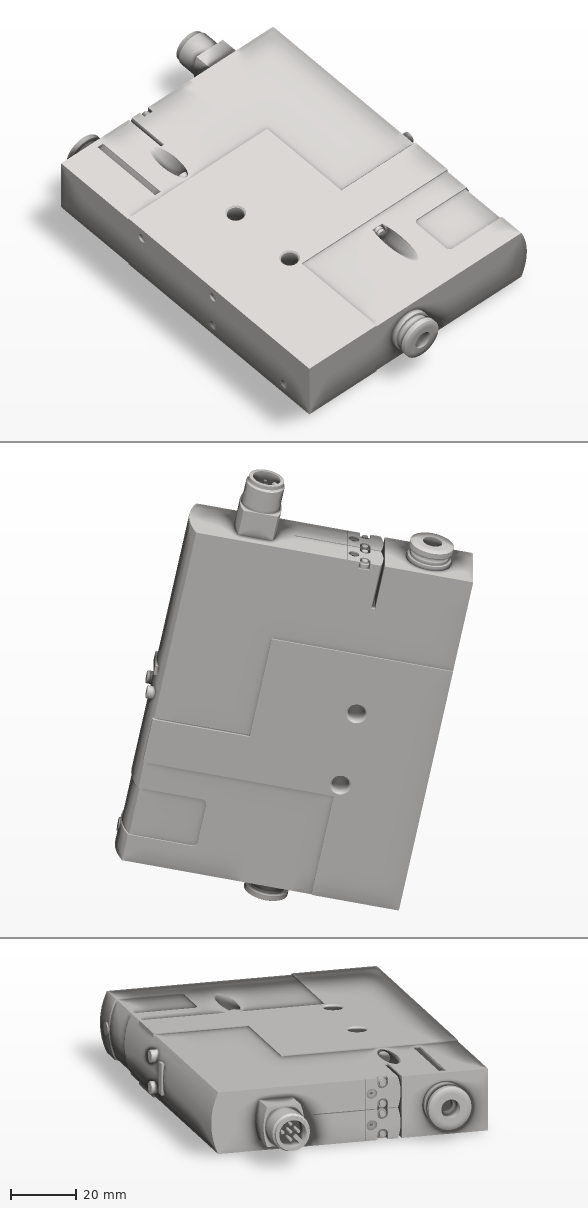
import cadquery as cq
import math


LENGTH = 114.8
PANEL_HALF = 9.82
CORE_HALF = 10.24
BACK_EDGE_Y = 86.4
CROWN_RISE = 2.2
CROWN_Y = BACK_EDGE_Y + CROWN_RISE

LEFT_BLOCK_X = 31.0
RIGHT_PANEL_X = 80.2
RIGHT_PANEL_Y = 27.3
CONTROL_X = 64.9
CONTROL_Y = 56.5
CONTROL_GAP = 0.4
CONTROL_GAP_DEPTH = 0.7
CORE_BACK_Y = 86.8

RECESS_X = (89.5, 105.7)
RECESS_Y = 64.9
RECESS_CORNER_R = 1.5
RECESS_DEPTH = 0.4

BOLT_D = 5.5
BOLT_RIM_D = 6.4
BOLT_X = (51.1, 76.0)
BOLT_Y = 26.0

FRONT_HOLE_D = 2.5
FRONT_RIM_D = 3.0
FRONT_HOLE_DEPTH = 7
FRONT_PITCH = 32.9
FRONT_MID_X = 70.0
FRONT_HOLE_Z = 6.3

LABEL_D = 2.2
LABEL_Y = 13.9
LABEL_X = (2.2, 29.0)

SCOOP_D = 5.6
LEFT_SCOOP = (21.5, 25.1)
LEFT_SCOOP_TILT = 20
LEFT_SCOOP_REACH = 9.8
LEFT_PIN_D = 4.0
LEFT_PIN_START = 5.7
RIGHT_SCOOP = (91.5, 55.0)
RIGHT_SCOOP_TILT = 15
RIGHT_SCOOP_REACH = 6.4
RIGHT_PIN_D = 4.0
RIGHT_PIN_X = (83.7, 84.8)
RIGHT_PIN_TIP_D = 3.5
RIGHT_PIN_TIP_X = 85.8
RIGHT_PIN_COVER = 0.1

VALVE_LENGTH = 14.9
VALVE_BACK_Y = 55.7
VALVE_FRONT_Y = 28.8
VALVE_BULGE = 0.8
VALVE_SLOT_Y = 27.6
SEAM_WIDTH = 0.4
SEAM_DEPTH = 0.7
COVER_LINE_Y = 39.4
COVER_LINE_WIDTH = 0.1
COVER_LINE_DEPTH = 0.4

OVERRIDE_Y = 33.7
OVERRIDE_OUTER_Z = 8.1
OVERRIDE_INNER_Z = 1.7
OVERRIDE_D = 3.3
OVERRIDE_DEPTH = 2.2
PLUNGER_D = 3.0
PLUNGER_TIP_D = 1.8
PLUNGER_SHOULDER = 0.8
SCREW_Y = 37.2
SCREW_Z = 5.0
SCREW_D = 3.3
SCREW_DEPTH = 0.7
DRIVE_D = 1.0
DRIVE_DEPTH = 0.7

BUTTON_D = 4.0
BUTTON_X = 58.9
BUTTON_Z = 5.0
BUTTON_TIP_Y = 90.0
BUTTON_CHAMFER = 0.1
WINDOW_TOP_Y = CROWN_Y + 0.4
WINDOW_X = 51.3
WINDOW_WIDTH = 3.0
WINDOW_HEIGHT = 10.0
LAMP_X = 107.7
LAMP_D = 4.2

FITTING_LENGTH = 6.8
FLANGE_D = 13.7
FLANGE_THICKNESS = 1.8
NECK_D = 12.0
NECK_END = 2.8
THROAT_D = 11.0
THROAT_START = 3.8
HEAD_START = 4.6
HEAD_EDGE = 6.3
HEAD_FACE_D = 10.0
TUBE_D = 6.0
TUBE_DEPTH = 4.2
FITTING_BORE_D = 4.2
LEFT_FITTING_Y = 13.9
LEFT_FITTING_SINK = 0.5
LEFT_SEAT_D = 14.3
RIGHT_FITTING_Y = 40.3

PLUG_Y = 68.0
PLUG_LENGTH = 17.7
BLOCK_LENGTH = 8.5
BLOCK_HEIGHT = 12.7
BLOCK_FLAT = 10.7
BLOCK_WIDTH = 13.1
BARREL_D = 12.0
BARREL_END = 15.9
COLLAR_D = 10.9
COLLAR_START = 16.5
SOCKET_D = 8.6
SOCKET_DEPTH = 7
CONTACT_D = 1.0
CONTACT_RADIUS = 2.5
CONTACT_COUNT = 4
CONTACT_LENGTH = 4.9
KEY_WIDTH = 1.3
KEY_REACH = 1.3
KEY_ANGLE = 45


def box(x, y, z):
    """Box between pairs of limits."""
    return (cq.Workplane("XY")
            .box(x[1] - x[0], y[1] - y[0], z[1] - z[0], centered=False)
            .translate((x[0], y[0], z[0])))


def rod(start, direction, diameter, length):
    """Cylinder from a start point along a direction."""
    return cq.Workplane(cq.Solid.makeCylinder(diameter / 2, length, cq.Vector(*start), cq.Vector(*direction)))


def crowned_slab(inset):
    """Panel-thickness slab with a crowned back, shrunk by an inset on top, bottom and back."""
    half = PANEL_HALF - inset
    back = BACK_EDGE_Y - inset
    return (cq.Workplane("YZ")
            .moveTo(0, -half)
            .lineTo(back, -half)
            .threePointArc((back + CROWN_RISE, 0), (back, half))
            .lineTo(0, half)
            .close()
            .extrude(LENGTH))


def core_plate():
    """Raised plate that stands proud of the panels on both faces."""
    core_left = CONTROL_X + CONTROL_GAP
    outline = [
        (LEFT_BLOCK_X, 0), (LENGTH, 0), (LENGTH, RIGHT_PANEL_Y), (RIGHT_PANEL_X, RIGHT_PANEL_Y),
        (RIGHT_PANEL_X, CORE_BACK_Y), (core_left, CORE_BACK_Y), (core_left, CONTROL_Y),
        (LEFT_BLOCK_X, CONTROL_Y),
    ]
    return cq.Workplane("XY").polyline(outline).close().extrude(CORE_HALF, both=True)


def cut_control_gaps(body):
    """Narrow gap between the electronics panel and the core, top and bottom."""
    floor = PANEL_HALF - CONTROL_GAP_DEPTH
    x = (CONTROL_X, CONTROL_X + CONTROL_GAP)
    gap = box(x, (CONTROL_Y, CROWN_Y), (floor, CORE_HALF))
    return body.cut(gap).cut(gap.mirror("XY"))


def cut_wrapped_recess(body):
    recess = (box(RECESS_X, (RECESS_Y, CROWN_Y), (-CORE_HALF, CORE_HALF))
              .edges("|Z and <Y").fillet(RECESS_CORNER_R)
              .cut(crowned_slab(RECESS_DEPTH)))
    return body.cut(recess)


def rimmed_hole(start, direction, diameter, rim_diameter, length):
    """Hole tool with a 45 degree chamfer at its start."""
    rim = (rim_diameter - diameter) / 2
    cone = cq.Solid.makeCone(rim_diameter / 2, diameter / 2, rim, cq.Vector(*start), cq.Vector(*direction))
    return rod(start, direction, diameter, length).union(cq.Workplane(cone))


def cut_mounting_holes(body):
    for x in BOLT_X:
        for side in (1, -1):
            start = (x, BOLT_Y, side * CORE_HALF)
            body = body.cut(rimmed_hole(start, (0, 0, -side), BOLT_D, BOLT_RIM_D, CORE_HALF))
    places = [
        (FRONT_MID_X - FRONT_PITCH, FRONT_HOLE_Z), (FRONT_MID_X, FRONT_HOLE_Z),
        (FRONT_MID_X, -FRONT_HOLE_Z), (FRONT_MID_X + FRONT_PITCH, -FRONT_HOLE_Z),
    ]
    for x, z in places:
        body = body.cut(rimmed_hole((x, 0, z), (0, 1, 0), FRONT_HOLE_D, FRONT_RIM_D, FRONT_HOLE_DEPTH))
    return body


def cut_label_groove(body):
    start = (LABEL_X[0], LABEL_Y, PANEL_HALF)
    return body.cut(rod(start, (1, 0, 0), LABEL_D, LABEL_X[1] - LABEL_X[0]))


def scoop(centre, tilt, side, reach):
    """Tilted round scoop that sinks toward +X (side 1) or -X (side -1), and its axis direction."""
    angle = math.radians(tilt)
    axis = cq.Vector(side * math.cos(angle), 0, -math.sin(angle))
    middle = cq.Vector(centre[0], centre[1], PANEL_HALF)
    rise = SCOOP_D / math.sin(angle)
    start = middle - axis * rise
    return rod(start.toTuple(), axis.toTuple(), SCOOP_D, rise + reach), middle, axis


def add_left_scoop(body):
    hollow, middle, axis = scoop(LEFT_SCOOP, LEFT_SCOOP_TILT, 1, LEFT_SCOOP_REACH)
    pin_start = middle + axis * LEFT_PIN_START
    pin = rod(pin_start.toTuple(), axis.toTuple(), LEFT_PIN_D, LEFT_SCOOP_REACH - LEFT_PIN_START)
    below_panel = box((0, LENGTH), (0, BACK_EDGE_Y), (-PANEL_HALF, PANEL_HALF))
    return body.cut(hollow).union(pin.intersect(below_panel))


def add_right_scoop(body):
    hollow, _, _ = scoop(RIGHT_SCOOP, RIGHT_SCOOP_TILT, -1, RIGHT_SCOOP_REACH)
    y = RIGHT_SCOOP[1]
    radius = RIGHT_PIN_D / 2
    pin_z = PANEL_HALF - RIGHT_PIN_COVER - radius
    notch = box((RIGHT_PIN_X[0], RIGHT_PIN_TIP_X), (y - radius, y + radius), (pin_z, PANEL_HALF))
    pin = rod((RIGHT_PIN_X[0], y, pin_z), (1, 0, 0), RIGHT_PIN_D, RIGHT_PIN_X[1] - RIGHT_PIN_X[0])
    tip = rod((RIGHT_PIN_X[0], y, pin_z), (1, 0, 0), RIGHT_PIN_TIP_D, RIGHT_PIN_TIP_X - RIGHT_PIN_X[0])
    return body.cut(hollow).cut(notch).union(pin).union(tip)


def cut_valve_gaps(body):
    """Slot in front of the bowed valve ends, seam between the valves and cover line."""
    tip_y = VALVE_FRONT_Y - VALVE_BULGE
    slot = (cq.Workplane("YZ")
            .moveTo(VALVE_SLOT_Y, -PANEL_HALF)
            .lineTo(VALVE_SLOT_Y, PANEL_HALF)
            .lineTo(VALVE_FRONT_Y, PANEL_HALF)
            .threePointArc((tip_y, PANEL_HALF / 2), (VALVE_FRONT_Y, 0))
            .threePointArc((tip_y, -PANEL_HALF / 2), (VALVE_FRONT_Y, -PANEL_HALF))
            .close()
            .extrude(VALVE_LENGTH))
    seam = box((0, SEAM_DEPTH), (VALVE_SLOT_Y, VALVE_BACK_Y), (-SEAM_WIDTH / 2, SEAM_WIDTH / 2))
    cover_line = box((0, COVER_LINE_DEPTH), (COVER_LINE_Y - COVER_LINE_WIDTH, COVER_LINE_Y),
                     (-PANEL_HALF, PANEL_HALF))
    return body.cut(slot).cut(seam).cut(cover_line)


def add_override(body, z, open_z):
    """U-shaped pocket that runs from z to an open side, with a stepped plunger inside."""
    low, high = sorted((z, open_z))
    radius = OVERRIDE_D / 2
    pocket = (box((0, OVERRIDE_DEPTH), (OVERRIDE_Y - radius, OVERRIDE_Y + radius), (low, high))
              .union(rod((0, OVERRIDE_Y, z), (1, 0, 0), OVERRIDE_D, OVERRIDE_DEPTH)))
    plunger = rod((PLUNGER_SHOULDER, OVERRIDE_Y, z), (1, 0, 0), PLUNGER_D, OVERRIDE_DEPTH - PLUNGER_SHOULDER)
    tip = rod((0, OVERRIDE_Y, z), (1, 0, 0), PLUNGER_TIP_D, OVERRIDE_DEPTH)
    return body.cut(pocket).union(plunger).union(tip)


def add_valve_controls(body):
    for side in (1, -1):
        body = add_override(body, side * OVERRIDE_OUTER_Z, side * PANEL_HALF)
        body = add_override(body, side * OVERRIDE_INNER_Z, 0)
        screw_z = side * SCREW_Z
        body = body.cut(rod((0, SCREW_Y, screw_z), (1, 0, 0), SCREW_D, SCREW_DEPTH))
        body = body.cut(rod((0, SCREW_Y, screw_z), (1, 0, 0), DRIVE_D, SCREW_DEPTH + DRIVE_DEPTH))
    return body


def add_back_controls(body):
    for side in (1, -1):
        button = rod((BUTTON_X, BACK_EDGE_Y, side * BUTTON_Z), (0, 1, 0), BUTTON_D, BUTTON_TIP_Y - BACK_EDGE_Y)
        body = body.union(button.faces(">Y").chamfer(BUTTON_CHAMFER))
    window = box((WINDOW_X - WINDOW_WIDTH / 2, WINDOW_X + WINDOW_WIDTH / 2), (BACK_EDGE_Y, WINDOW_TOP_Y),
                 (-WINDOW_HEIGHT / 2, WINDOW_HEIGHT / 2))
    lamp = rod((LAMP_X, BACK_EDGE_Y, 0), (0, 1, 0), LAMP_D, WINDOW_TOP_Y - BACK_EDGE_Y)
    return body.union(window).union(lamp)


def cut_fitting_seat(body):
    return body.cut(rod((0, LEFT_FITTING_Y, 0), (1, 0, 0), LEFT_SEAT_D, LEFT_FITTING_SINK))


def make_housing():
    body = crowned_slab(0).union(core_plate())
    body = cut_control_gaps(body)
    body = cut_wrapped_recess(body)
    body = cut_mounting_holes(body)
    body = cut_label_groove(body)
    body = add_left_scoop(body)
    body = add_right_scoop(body)
    body = cut_valve_gaps(body)
    body = add_valve_controls(body)
    body = add_back_controls(body)
    return cut_fitting_seat(body)


def make_fitting():
    """Hollow push-in fitting along +X, flange seated at X = 0."""
    edge_depth = FITTING_LENGTH - HEAD_EDGE
    edge_width = (FLANGE_D - HEAD_FACE_D) / 2
    edge_r = (edge_depth**2 + edge_width**2) / (2 * edge_depth)
    half_angle = math.asin(edge_width / edge_r) / 2
    edge_mid_x = FITTING_LENGTH - edge_r * (1 - math.cos(half_angle))
    edge_mid_r = HEAD_FACE_D / 2 + edge_r * math.sin(half_angle)
    tube_floor = FITTING_LENGTH - TUBE_DEPTH
    return (cq.Workplane("XY")
            .moveTo(0, FITTING_BORE_D / 2)
            .lineTo(0, FLANGE_D / 2)
            .lineTo(FLANGE_THICKNESS, FLANGE_D / 2)
            .lineTo(FLANGE_THICKNESS, NECK_D / 2)
            .lineTo(NECK_END, NECK_D / 2)
            .lineTo(THROAT_START, THROAT_D / 2)
            .lineTo(HEAD_START, THROAT_D / 2)
            .lineTo(HEAD_START, FLANGE_D / 2)
            .lineTo(HEAD_EDGE, FLANGE_D / 2)
            .threePointArc((edge_mid_x, edge_mid_r), (FITTING_LENGTH, HEAD_FACE_D / 2))
            .lineTo(FITTING_LENGTH, TUBE_D / 2)
            .lineTo(tube_floor, TUBE_D / 2)
            .lineTo(tube_floor, FITTING_BORE_D / 2)
            .close()
            .revolve(360, (0, 0, 0), (1, 0, 0)))


def make_plug():
    """Plug connector along -X with its mounting face at X = 0 and contacts in the socket."""
    top = BLOCK_HEIGHT / 2
    flat = BLOCK_FLAT / 2
    block = (cq.Workplane("YZ")
             .moveTo(-flat, top)
             .lineTo(flat, top)
             .threePointArc((BLOCK_WIDTH / 2, 0), (flat, -top))
             .lineTo(-flat, -top)
             .threePointArc((-BLOCK_WIDTH / 2, 0), (-flat, top))
             .close()
             .extrude(-BLOCK_LENGTH))
    barrel = (cq.Workplane("XY")
              .polyline([(0, 0), (0, BARREL_D / 2), (-BARREL_END, BARREL_D / 2), (-COLLAR_START, COLLAR_D / 2),
                         (-PLUG_LENGTH, COLLAR_D / 2), (-PLUG_LENGTH, 0)])
              .close()
              .revolve(360, (0, 0, 0), (1, 0, 0)))
    socket = rod((-PLUG_LENGTH, 0, 0), (1, 0, 0), SOCKET_D, SOCKET_DEPTH)
    floor_x = SOCKET_DEPTH - PLUG_LENGTH
    key_y = (-BARREL_D / 2, KEY_REACH - SOCKET_D / 2)
    key_z = (-KEY_WIDTH / 2, KEY_WIDTH / 2)
    key = (box((-PLUG_LENGTH, floor_x), key_y, key_z)
           .rotate((0, 0, 0), (1, 0, 0), KEY_ANGLE)
           .intersect(socket))
    plug = block.union(barrel).cut(socket).union(key)
    places = [(0, 0)]
    for i in range(CONTACT_COUNT):
        angle = 2 * math.pi * i / CONTACT_COUNT
        places.append((CONTACT_RADIUS * math.cos(angle), CONTACT_RADIUS * math.sin(angle)))
    for y, z in places:
        plug = plug.union(rod((floor_x, y, z), (-1, 0, 0), CONTACT_D, CONTACT_LENGTH))
    return plug


housing = make_housing()
plug = make_plug().translate((0, PLUG_Y, 0))

fitting_seats = [
    (LEFT_FITTING_SINK, LEFT_FITTING_Y, 180),
    (LENGTH, RIGHT_FITTING_Y, 0),
]
fittings = []
for x, y, turn in fitting_seats:
    fitting = make_fitting().rotate((0, 0, 0), (0, 0, 1), turn).translate((x, y, 0))
    fittings.append(fitting.val())

result = cq.Compound.makeCompound([housing.val(), plug.val(), *fittings])